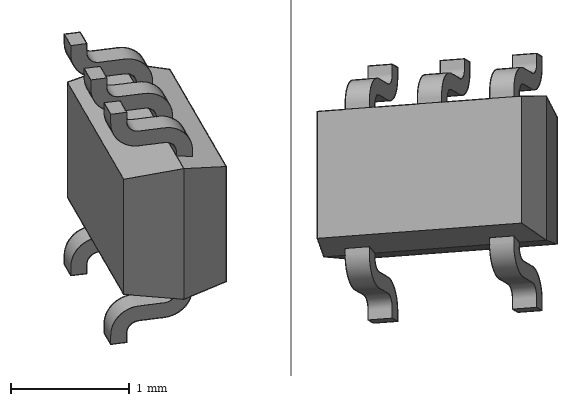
import cadquery as cq
import math

body_length = 2.0
body_height = 1.25
end_inset = 0.081
side_inset = 0.075
front_depth = 0.505
back_depth = 0.394

overall_height = 2.2
lead_width = 0.218
lead_thickness = 0.14
lead_pitch = 0.65
bend_inner = 0.105
foot_length = 0.088
foot_drop = 0.07

bend_outer = bend_inner + lead_thickness
tip_z = overall_height / 2
root_z = body_height / 2
foot_y = -(front_depth + foot_drop)

upper_lead_x = [-lead_pitch, 0, lead_pitch]
lower_lead_x = [-lead_pitch, lead_pitch]


def make_body_half(face_y):
    """Frustum from the parting plane to its smaller outer face at Y = face_y."""
    return (
        cq.Workplane("XZ")
        .rect(body_length, body_height)
        .workplane(offset=-face_y)
        .rect(body_length - 2 * end_inset, body_height - 2 * side_inset)
        .loft(combine=True)
    )


def make_upper_lead(x):
    """S-bent lead centred at x, its root resting on the sloped side of the back half."""
    second_z = tip_z - foot_length
    second_y = foot_y + bend_outer
    first_z = second_z - bend_outer - bend_inner
    first_y = lead_thickness - bend_outer
    diagonal = math.sqrt(0.5)

    back_root_z = root_z - side_inset * lead_thickness / back_depth

    return (
        cq.Workplane("YZ", origin=(x - lead_width / 2, 0, 0))
        .moveTo(0, root_z)
        .lineTo(0, first_z)
        .threePointArc(
            (first_y + bend_inner * diagonal, first_z + bend_inner * diagonal),
            (first_y, first_z + bend_inner),
        )
        .lineTo(second_y, second_z - bend_outer)
        .threePointArc(
            (second_y - bend_outer * diagonal, second_z - bend_outer * diagonal),
            (foot_y, second_z),
        )
        .lineTo(foot_y, tip_z)
        .lineTo(foot_y + lead_thickness, tip_z)
        .lineTo(foot_y + lead_thickness, second_z)
        .threePointArc(
            (second_y - bend_inner * diagonal, second_z - bend_inner * diagonal),
            (second_y, second_z - bend_inner),
        )
        .lineTo(first_y, first_z + bend_outer)
        .threePointArc(
            (first_y + bend_outer * diagonal, first_z + bend_outer * diagonal),
            (lead_thickness, first_z),
        )
        .lineTo(lead_thickness, back_root_z)
        .close()
        .extrude(lead_width)
    )


def make_lower_lead(x):
    """Mirror image of an upper lead on the -Z side."""
    return make_upper_lead(x).mirror("XY")


front_half = make_body_half(-front_depth)
back_half = make_body_half(back_depth)
upper_leads = [make_upper_lead(x).val() for x in upper_lead_x]
lower_leads = [make_lower_lead(x).val() for x in lower_lead_x]

result = cq.Compound.makeCompound(
    [front_half.val(), back_half.val(), *upper_leads, *lower_leads]
)